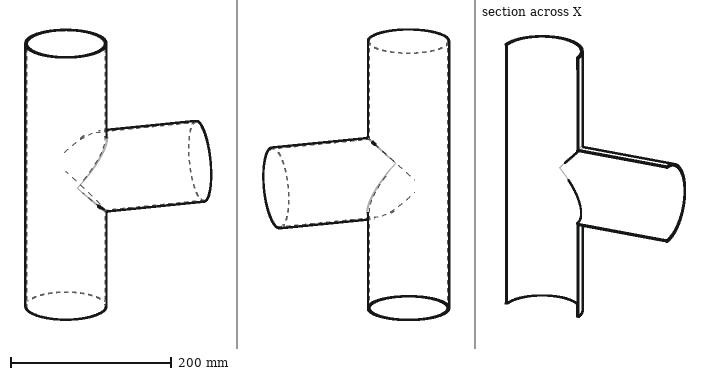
import cadquery as cq

outer_diameter = 101.6
inner_diameter = 97.4
run_length = 348.0
branch_reach = run_length / 2
crotch_radius = 1.5

fillet_end_margin = 0.5


def tee_body(diameter):
    """Solid tee of one diameter, with the two pipe axes crossing at the origin."""
    run = cq.Workplane("XY").circle(diameter / 2).extrude(run_length / 2, both=True)
    branch = cq.Workplane("XZ").circle(diameter / 2).extrude(-branch_reach)
    return run.union(branch)


def with_crotch_fillet(tee):
    """Round the two elliptical seams between run and branch, short of the X sides."""
    core_width = outer_diameter - 2 * fillet_end_margin
    core_slab = cq.Workplane("XY").box(core_width, 2 * run_length, 2 * run_length)
    filleted_core = tee.intersect(core_slab).edges("%ELLIPSE").fillet(crotch_radius)
    return tee.union(filleted_core)


outer_tee = with_crotch_fillet(tee_body(outer_diameter))
result = outer_tee.cut(tee_body(inner_diameter))